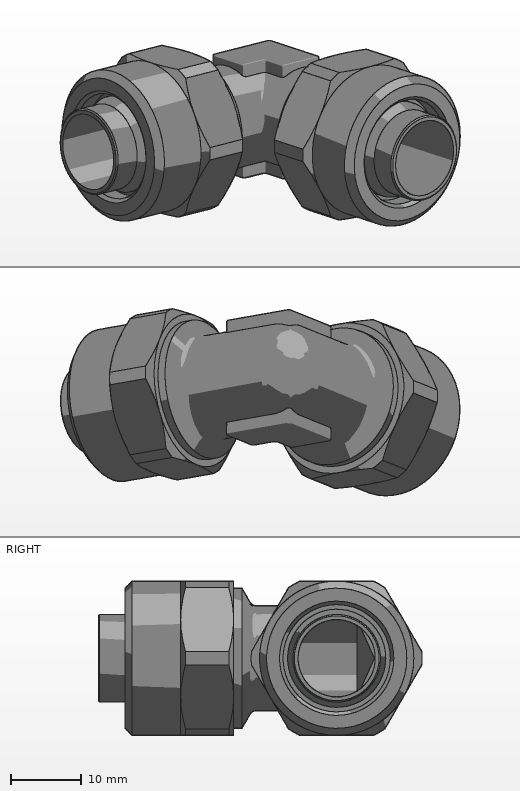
import cadquery as cq
import math

arm_radius = 7.5
swap_plane_normal = (1, 1, 0)
bend_fillet = 6.0
crotch_fillet = 0.5

tube_end = 34.0
nut_end = 30.2
hex_end = 22.25
hex_start = 14.7
collar_start = 13.5

collar_radius = 10.0
neck_angle = math.radians(60)
neck_fillet = 1.0
neck_tangent = neck_fillet * math.tan(neck_angle / 2)
neck_length = (collar_radius - arm_radius) / math.tan(neck_angle)
fillet_start = collar_start - neck_length - neck_tangent

across_flats = 22.0
hex_corner_radius = 12.2
hex_chamfer_angle = math.radians(30)
sleeve_radius = across_flats / 2
sleeve_chamfer = 1.0

recess_radius = 7.65
recess_mouth_chamfer = 0.5
ferrule_length = 2.0
recess_depth = 3.0
ferrule_radius = 7.0

tube_radius = 6.25
tube_chamfer = 0.2
bore_radius = 5.5
bore_tip_height = 2.5
bore_tip_reach = 5.4

pad_height = 8.5
pad_outer = 3.5
pad_inner = 3.5
pad_reach = 7.5
pad_corner_fillet = 0.5
pad_top_fillet = 0.25

pad_underside = math.sqrt(arm_radius**2 - pad_inner**2)
core_half_height = (pad_underside + arm_radius) / 2


def revolve_profile(points):
    """Revolve (distance along the arm, radius) points about the X axis, closing on the axis."""
    outline = [(points[0][0], 0)] + points + [(points[-1][0], 0)]
    return cq.Workplane("XY").polyline(outline).close().revolve(360, (0, 0, 0), (1, 0, 0))


def make_collar():
    turn = neck_angle / 2
    fillet_middle = (
        fillet_start + neck_fillet * math.sin(turn),
        arm_radius + neck_fillet * (1 - math.cos(turn)),
    )
    fillet_end = (
        fillet_start + neck_tangent * (1 + math.cos(neck_angle)),
        arm_radius + neck_tangent * math.sin(neck_angle),
    )
    return (
        cq.Workplane("XY")
        .moveTo(fillet_start, 0)
        .lineTo(fillet_start, arm_radius)
        .threePointArc(fillet_middle, fillet_end)
        .lineTo(collar_start, collar_radius)
        .lineTo(hex_start, collar_radius)
        .lineTo(hex_start, 0)
        .close()
        .revolve(360, (0, 0, 0), (1, 0, 0))
    )


def make_hexagon():
    across_corners = across_flats / math.cos(math.pi / 6)
    prism = cq.Workplane("YZ", origin=(hex_start, 0, 0)).polygon(6, across_corners).extrude(hex_end - hex_start)
    chamfer_length = (hex_corner_radius - sleeve_radius) * math.tan(hex_chamfer_angle)
    envelope = revolve_profile([
        (hex_start, sleeve_radius),
        (hex_start + chamfer_length, hex_corner_radius),
        (hex_end - chamfer_length, hex_corner_radius),
        (hex_end, sleeve_radius),
    ])
    return prism.intersect(envelope)


def make_sleeve_and_tube():
    recess_floor = nut_end - recess_depth
    return revolve_profile([
        (hex_end, sleeve_radius),
        (nut_end - sleeve_chamfer, sleeve_radius),
        (nut_end, sleeve_radius - sleeve_chamfer),
        (nut_end, recess_radius + recess_mouth_chamfer),
        (nut_end - recess_mouth_chamfer, recess_radius),
        (recess_floor, recess_radius),
        (recess_floor, ferrule_radius),
        (nut_end - ferrule_length, ferrule_radius),
        (nut_end, tube_radius),
        (tube_end - tube_chamfer, tube_radius),
        (tube_end, tube_radius - tube_chamfer),
    ])


def make_arm():
    return make_collar().union(make_hexagon()).union(make_sleeve_and_tube())


def make_elbow_core():
    """Mitred round elbow with its outer ridge and its inside corner rounded.

    The two mitre curves meet at a point on the top and on the bottom. Flats cut there, hidden
    inside the pads, give each curve clean ends for its fillet.
    """
    path = cq.Workplane("XY").moveTo(fillet_start, 0).lineTo(0, 0).lineTo(0, -fillet_start)
    start = cq.Plane(origin=(fillet_start, 0, 0), xDir=(0, 0, 1), normal=(1, 0, 0))
    elbow = cq.Workplane(start).circle(arm_radius).sweep(path, transition="right")
    flat_side = 2 * pad_inner
    flats = cq.Workplane("XY").box(flat_side, flat_side, 2 * pad_height)
    flats = flats.cut(cq.Workplane("XY").box(flat_side, flat_side, 2 * core_half_height))
    elbow = elbow.cut(flats)
    ridge = cq.selectors.BoxSelector((-arm_radius, 0, -arm_radius), (0, arm_radius, arm_radius))
    valley = cq.selectors.BoxSelector((0, -arm_radius, -arm_radius), (arm_radius, 0, arm_radius))
    elbow = elbow.edges("%ELLIPSE").edges(ridge).fillet(bend_fillet)
    return elbow.edges("%ELLIPSE").edges(valley).fillet(crotch_fillet)


def make_pads():
    """Both L-shaped pads as one block passing through the elbow."""
    outline = [
        (-pad_outer, pad_outer),
        (pad_reach, pad_outer),
        (pad_reach, -pad_inner),
        (pad_inner, -pad_inner),
        (pad_inner, -pad_reach),
        (-pad_outer, -pad_reach),
    ]
    block = cq.Workplane("XY").workplane(offset=-pad_height).polyline(outline).close().extrude(2 * pad_height)
    return block.edges("|Z").fillet(pad_corner_fillet).faces("|Z").edges().fillet(pad_top_fillet)


def make_bore_x():
    """Flat-ended bore along the +X arm, starting on the axis of the other bore."""
    return cq.Workplane("YZ").circle(bore_radius).extrude(tube_end)


def make_bore_y():
    """Bore along the -Y arm, pointed with its tip just short of the far wall of the other bore."""
    shoulder_y = bore_tip_reach - bore_tip_height
    outline = [(0, -tube_end), (bore_radius, -tube_end), (bore_radius, shoulder_y), (0, bore_tip_reach)]
    return cq.Workplane("XY").polyline(outline).close().revolve(360, (0, 0, 0), (0, 1, 0))


arm_x = make_arm()
arm_y = arm_x.mirror(swap_plane_normal)
elbow = make_elbow_core().union(make_pads()).union(arm_x).union(arm_y)
result = elbow.cut(make_bore_x()).cut(make_bore_y())